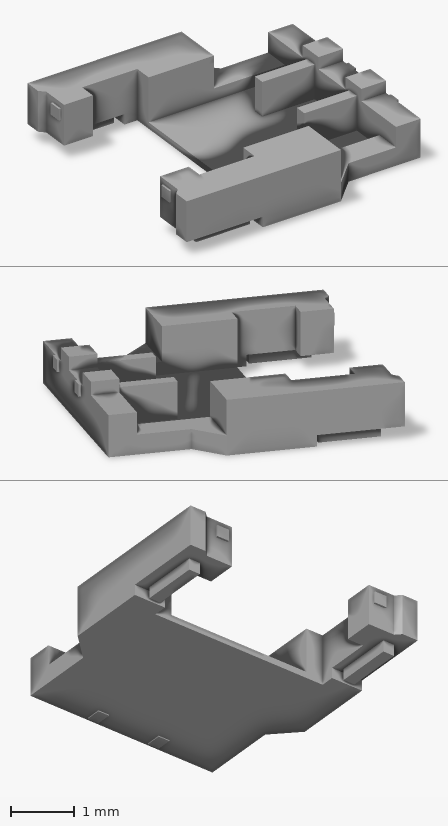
import cadquery as cq

total_height = 0.95
base_z = 0.02
floor_top = 0.135
arm_underside = 0.21
shelf_top = 0.355
bar_top = 0.725
blade_top = 0.765

total_length = 4.77
hook_front = 0.095
hook_rear = 0.64
arm_step = 1.44
floor_front = 1.685
arm_rear = 2.92
blade_front = 3.267
taper_rear = 3.365
bar_front = 4.26
bar_rear = 4.725

outer_half = 4.5 / 2
rear_half = 1.805
arm_inner_half = 1.655
hook_inner_half = 1.355
floor_half = 1.335
tip_inner_half = 1.95

blade_offset = 0.595
blade_width = 0.21
foot_front = 4.405
foot_rear = 4.68
block_offset = 0.605
block_width = 0.45
pad_offset = 1.92
pad_width = 0.21
pad_front = 0.325
pad_rear = 1.35
tip_stub_offset = 1.56
tip_stub_width = 0.23
tip_stub_length = 0.04
tip_stub_bottom = 0.635
tip_stub_top = 0.845
rear_stub_centers = (-0.19, 1.01)
rear_stub_width = 0.22
rear_stub_bottom = 0.52
rear_stub_top = bar_top


def block(center_x, width, front, rear, bottom, top):
    """Box centred at center_x, between the given Y and Z limits."""
    return (
        cq.Workplane("XY")
        .box(width, rear - front, top - bottom, centered=(True, False, False))
        .translate((center_x, front, bottom))
    )


def prism(points, bottom, top):
    """Vertical prism over a closed plan outline."""
    return cq.Workplane("XY").workplane(offset=bottom).polyline(points).close().extrude(top - bottom)


def both_sides(body):
    """The body together with its mirror image across the centre plane."""
    return body.union(body.mirror("YZ"))


def side_shelf():
    """Low side wall that tapers outward from the rear bar to the arm."""
    return prism(
        [
            (floor_half, arm_rear),
            (outer_half, arm_rear),
            (rear_half, taper_rear),
            (rear_half, bar_rear),
            (floor_half, bar_rear),
        ],
        base_z,
        shelf_top,
    )


def arm():
    """Full-height arm with an inward hook, a pointed tip and a stepped underside."""
    tip_slope = hook_front
    body = prism(
        [
            (floor_half, arm_rear),
            (floor_half, floor_front),
            (arm_inner_half, floor_front),
            (arm_inner_half, hook_rear),
            (hook_inner_half, hook_rear),
            (hook_inner_half, hook_front),
            (tip_inner_half - tip_slope, hook_front),
            (tip_inner_half, 0),
            (outer_half, 0),
            (outer_half, arm_rear),
        ],
        base_z,
        total_height,
    )
    underside_cut = block(0, 2 * outer_half, 0, arm_step, base_z, arm_underside)
    return body.cut(underside_cut)


def arm_pad():
    """Solder pad hanging under the arm."""
    return block(pad_offset, pad_width, pad_front, pad_rear, 0, arm_underside)


def tip_stub():
    """Small stub on the front face of the hook."""
    front = hook_front - tip_stub_length
    return block(tip_stub_offset, tip_stub_width, front, hook_front, tip_stub_bottom, tip_stub_top)


def bar_block():
    """Raised block on the rear bar, above a terminal."""
    return block(block_offset, block_width, bar_front, bar_rear, bar_top, total_height)


def terminal():
    """Upright blade in front of the rear bar and its foot under the bar."""
    blade = block(blade_offset, blade_width, blade_front, bar_front, floor_top, blade_top)
    foot = block(blade_offset, blade_width, foot_front, foot_rear, 0, base_z)
    return blade, foot


result = block(0, 2 * floor_half, floor_front, bar_rear, base_z, floor_top)
result = result.union(block(0, 2 * rear_half, bar_front, bar_rear, base_z, bar_top))

for feature in (side_shelf(), arm(), arm_pad(), tip_stub(), bar_block(), *terminal()):
    result = result.union(both_sides(feature))

for stub_x in rear_stub_centers:
    result = result.union(
        block(stub_x, rear_stub_width, bar_rear, total_length, rear_stub_bottom, rear_stub_top)
    )